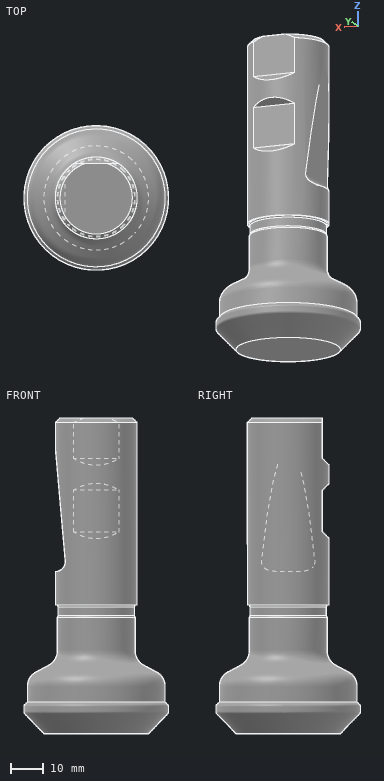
import cadquery as cq
import math

total_height = 97.98
tip_top_z = 9.9
head_wall_top_z = 14.8
groove_bottom_z = 36.1
shank_bottom_z = 39.95

tip_bottom_radius = 16.2
rim_radius = 44.89 / 2
head_radius = 42.75 / 2
neck_radius = 24.25 / 2
groove_radius = 23.75 / 2
shank_radius = 25.39 / 2

groove_chamfer_height = 0.55
top_chamfer = 1.5
shoulder_round = 5.0
shoulder_slope = math.radians(28)

rim_bottom_z = 6.5
rim_round = 0.8

notch_apex_z = 88.5
notch_floor_z = 50.35
notch_round = 3.0
notch_slope = math.radians(5)

flat_y = 10.6
upper_flat_bottom_z = 85.4
lower_flat_top_z = 75.55
lower_flat_bottom_z = 62.65

overshoot = 2.0


def on_circle(center, radius, angle):
    """Point (r, z) on a circle, with the angle measured from the +r direction."""
    return (center[0] + radius * math.cos(angle), center[1] + radius * math.sin(angle))


def make_turned_body():
    """Shank, grooved neck and flared head, revolved about Z."""
    normal_angle = math.pi / 2 - shoulder_slope
    outer_center = (head_radius - shoulder_round, head_wall_top_z)
    outer_mid = on_circle(outer_center, shoulder_round, normal_angle / 2)
    outer_end = on_circle(outer_center, shoulder_round, normal_angle)
    inner_end_r = neck_radius + shoulder_round * (1 - math.cos(normal_angle))
    inner_end_z = outer_end[1] + (outer_end[0] - inner_end_r) * math.tan(shoulder_slope)
    neck_bottom_z = inner_end_z + shoulder_round * math.sin(normal_angle)
    inner_center = (neck_radius + shoulder_round, neck_bottom_z)
    inner_mid = on_circle(inner_center, shoulder_round, math.pi + normal_angle / 2)

    profile = (
        cq.Workplane("XZ")
        .moveTo(0, tip_top_z)
        .lineTo(head_radius, tip_top_z)
        .lineTo(head_radius, head_wall_top_z)
        .threePointArc(outer_mid, outer_end)
        .lineTo(inner_end_r, inner_end_z)
        .threePointArc(inner_mid, (neck_radius, neck_bottom_z))
        .lineTo(neck_radius, groove_bottom_z)
        .lineTo(groove_radius, groove_bottom_z + groove_chamfer_height)
        .lineTo(groove_radius, shank_bottom_z - groove_chamfer_height)
        .lineTo(neck_radius, shank_bottom_z)
        .lineTo(shank_radius, shank_bottom_z)
        .lineTo(shank_radius, total_height - top_chamfer)
        .lineTo(shank_radius - top_chamfer, total_height)
        .lineTo(0, total_height)
        .close()
    )
    return profile.revolve(360, (0, 0, 0), (0, 1, 0))


def make_notch_cutter():
    """Wedge with a rounded floor corner, cutting right across the shank in Y."""
    center_z = notch_floor_z + notch_round
    slope_x = -shank_radius + (notch_apex_z - center_z) * math.tan(notch_slope)
    center = (slope_x - notch_round / math.cos(notch_slope), center_z)
    tangent = on_circle(center, notch_round, notch_slope)
    arc_mid = on_circle(center, notch_round, (notch_slope - math.pi / 2) / 2)
    outside_x = -shank_radius - overshoot
    outside_z = notch_apex_z + overshoot / math.tan(notch_slope)
    return (
        cq.Workplane("XZ")
        .moveTo(outside_x, notch_floor_z)
        .lineTo(center[0], notch_floor_z)
        .threePointArc(arc_mid, tangent)
        .lineTo(outside_x, outside_z)
        .close()
        .extrude(shank_radius, both=True)
    )


def make_flat_cutter(bottom_z, top_z):
    """Trapezoid in YZ that widens outward at 45 degrees, cutting right across in X."""
    depth = shank_radius + overshoot - flat_y
    return (
        cq.Workplane("YZ")
        .moveTo(flat_y, bottom_z)
        .lineTo(flat_y + depth, bottom_z - depth)
        .lineTo(flat_y + depth, top_z + depth)
        .lineTo(flat_y, top_z)
        .close()
        .extrude(shank_radius, both=True)
    )


def make_holder():
    holder = make_turned_body().cut(make_notch_cutter())
    flat_spans = [
        (lower_flat_bottom_z, lower_flat_top_z),
        (upper_flat_bottom_z, total_height + overshoot),
    ]
    for bottom_z, top_z in flat_spans:
        holder = holder.cut(make_flat_cutter(bottom_z, top_z))
    return holder


def make_tip():
    """Conical disc with a rounded rim, seated flat against the head."""
    rim_top_z = tip_top_z - (rim_radius - head_radius)
    profile = (
        cq.Workplane("XZ")
        .lineTo(tip_bottom_radius, 0)
        .lineTo(rim_radius, rim_bottom_z)
        .lineTo(rim_radius, rim_top_z)
        .lineTo(head_radius, tip_top_z)
        .lineTo(0, tip_top_z)
        .close()
    )
    tip = profile.revolve(360, (0, 0, 0), (0, 1, 0))
    rim_edges = tip.edges(cq.selectors.RadiusNthSelector(-1))
    return tip.newObject(rim_edges.vals()).fillet(rim_round)


holder = make_holder()
tip = make_tip()

result = cq.Compound.makeCompound([holder.val(), tip.val()])